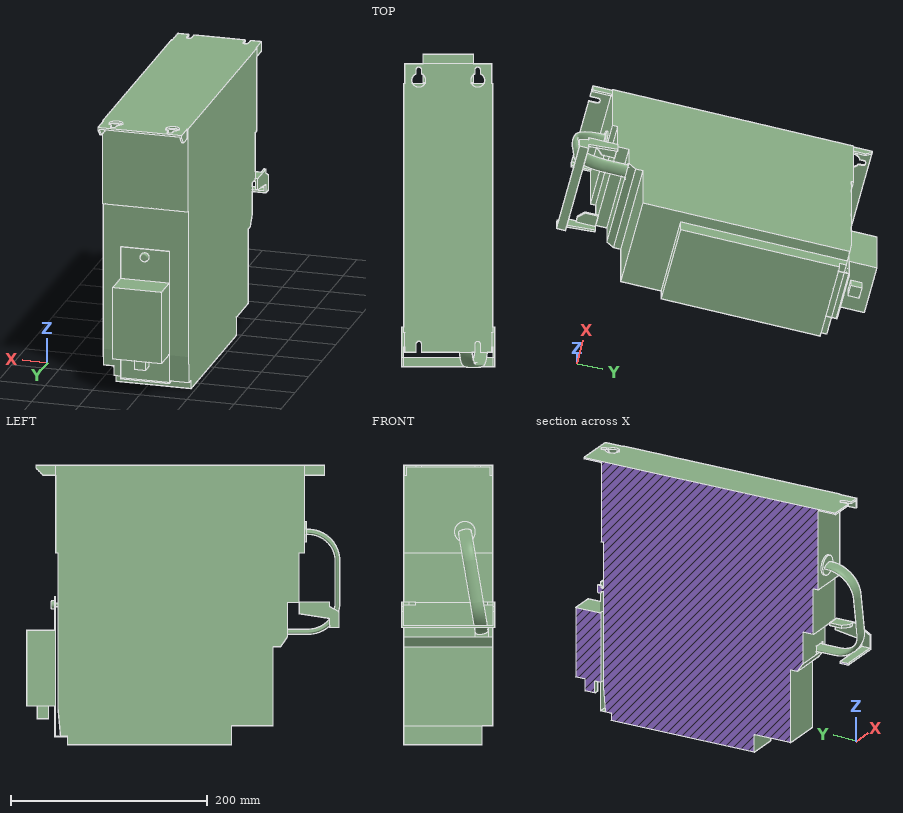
import cadquery as cq
import math


OVERALL_LENGTH = 319.0

HOUSING_WIDTH = 90.5
HOUSING_HEIGHT = 285.0
REAR_Y = 253.3
RECESSED_REAR_Y = 251.0
UPPER_BLOCK_Z = 195.3
MIDDLE_FRONT_Y = 5.5
MIDDLE_Z = 145.0
SOCKET_FRONT_Y = 17.2
SOCKET_FACE_Z = 110.0
BEVEL_END_Y = 24.2
BEVEL_END_Z = 100.0
LOWER_FRONT_Y = 32.0
BASE_TOP_Z = 19.5
BASE_FRONT_Y = 74.5
BASE_REAR_Y = 241.5
REAR_STEP_Z = 9.0
TAPER_START_Z = 37.3
TAPER_DEPTH = 2.5
BASE_SIDE_CUT = 11.0

CHANNEL_WIDTH = 88.7
CHANNEL_SHEET = 2.0
CHANNEL_HEIGHT = 10.5
CHANNEL_FRONT_Y = -20.5
CHANNEL_REAR_Y = 273.5
CHANNEL_BEVEL = 7.3
FASTENER_X = 30.0
SLOT_WIDTH = 5.5
SLOT_END_Y = -9.3
KEYHOLE_DIAMETER = 14.0
KEYHOLE_Y = 256.5
KEYHOLE_END_Y = 270.0

HANDLE_WIDTH = 95.0
HANDLE_SHEET = 2.2
HANDLE_TOP_Z = MIDDLE_Z + 0.5
HANDLE_REAR_Z = 133.5
HANDLE_ARM_Y = -25.5
HANDLE_ARM_Z = 128.5
HANDLE_FRONT_Y = -35.0
HANDLE_BOTTOM_Z = 119.3
HANDLE_NOTCH = 4.5
HANDLE_FRONT_TOP_Z = 135.5
TAB_WIDTH = 14.0
TAB_THICKNESS = 3.2
TAB_FRONT_Y = -15.0
TAB_BEVEL = 6.5

CABLE_WIDTH = 13.5
CABLE_THICKNESS = 5.0
CABLE_FRONT_Y = -36.0
CABLE_BEND = 30.0
CABLE_TOP_X = 17.0
CABLE_TOP_Z = 217.0
CABLE_LOW_X = 34.0
CABLE_LOW_Z = 115.2
COLLAR_DIAMETER = 21.0
COLLAR_THICKNESS = 2.0
SOCKET_WIDTH = 13.7
SOCKET_HEIGHT = 9.3
SOCKET_DEPTH = 3.2

BRACKET_SHEET = 1.0
BRACKET_WIDTH = 51.7
BRACKET_TOP_Z = 151.0
BRACKET_REAR_Y = REAR_Y + BRACKET_SHEET
BOX_REAR_Y = CABLE_FRONT_Y + OVERALL_LENGTH
BOX_BOTTOM_Z = 39.5
BOX_TOP_Z = 116.8
STUB_SIZE = 11.8
STUB_Y = 266.5
STUB_BOTTOM_Z = 26.5
SCREW_Z = 142.5
SCREW_HEAD_DIAMETER = 9.0
SCREW_HEAD_HEIGHT = 3.8
SCREW_HEAD_ROUND = 1.5
SPACER_DIAMETER = 4.0


def box(x_range, y_range, z_range):
    """Block spanning the given (low, high) range along each axis."""
    size = [high - low for low, high in (x_range, y_range, z_range)]
    corner = (x_range[0], y_range[0], z_range[0])
    return cq.Workplane("XY").box(*size, centered=False).translate(corner)


def centered(width):
    """(low, high) range of the given width about zero."""
    return (-width / 2, width / 2)


def side_profile(points, width):
    """Extrude a (Y, Z) outline across X, centred on X = 0."""
    return cq.Workplane("YZ").polyline(points).close().extrude(width / 2, both=True)


def make_housing():
    outline = [
        (0, HOUSING_HEIGHT),
        (0, UPPER_BLOCK_Z),
        (MIDDLE_FRONT_Y, UPPER_BLOCK_Z),
        (MIDDLE_FRONT_Y, MIDDLE_Z),
        (SOCKET_FRONT_Y, MIDDLE_Z),
        (SOCKET_FRONT_Y, SOCKET_FACE_Z),
        (BEVEL_END_Y, BEVEL_END_Z),
        (LOWER_FRONT_Y, BEVEL_END_Z),
        (LOWER_FRONT_Y, BASE_TOP_Z),
        (BASE_FRONT_Y, BASE_TOP_Z),
        (BASE_FRONT_Y, 0),
        (BASE_REAR_Y, 0),
        (BASE_REAR_Y, REAR_STEP_Z),
        (RECESSED_REAR_Y - TAPER_DEPTH, REAR_STEP_Z),
        (RECESSED_REAR_Y, TAPER_START_Z),
        (RECESSED_REAR_Y, UPPER_BLOCK_Z),
        (REAR_Y, UPPER_BLOCK_Z),
        (REAR_Y, HOUSING_HEIGHT),
    ]
    side_strip = box(
        (HOUSING_WIDTH / 2 - BASE_SIDE_CUT, HOUSING_WIDTH / 2),
        (0, REAR_Y),
        (0, BASE_TOP_Z),
    )
    socket = box(
        (CABLE_LOW_X - SOCKET_WIDTH / 2, CABLE_LOW_X + SOCKET_WIDTH / 2),
        (SOCKET_FRONT_Y, SOCKET_FRONT_Y + SOCKET_DEPTH),
        (SOCKET_FACE_Z, SOCKET_FACE_Z + SOCKET_HEIGHT),
    )
    return side_profile(outline, HOUSING_WIDTH).cut(side_strip).cut(socket)


def make_channel():
    bottom_z = HOUSING_HEIGHT - CHANNEL_HEIGHT
    outline = [
        (CHANNEL_FRONT_Y, HOUSING_HEIGHT),
        (CHANNEL_FRONT_Y, bottom_z),
        (CHANNEL_REAR_Y - CHANNEL_BEVEL, bottom_z),
        (CHANNEL_REAR_Y, bottom_z + CHANNEL_BEVEL),
        (CHANNEL_REAR_Y, HOUSING_HEIGHT),
    ]
    inside = box(
        centered(CHANNEL_WIDTH - 2 * CHANNEL_SHEET),
        (CHANNEL_FRONT_Y, CHANNEL_REAR_Y),
        (bottom_z, HOUSING_HEIGHT - CHANNEL_SHEET),
    )
    return side_profile(outline, CHANNEL_WIDTH).cut(inside)


def straight_slot(x, y_start, y_end):
    """Cutter along Y, one sheet deep, with round ends reaching y_start and y_end."""
    return (
        cq.Workplane("XY", origin=(x, (y_start + y_end) / 2, HOUSING_HEIGHT))
        .slot2D(y_end - y_start, SLOT_WIDTH, 90)
        .extrude(-CHANNEL_SHEET)
    )


def make_fastener_cutters(x):
    """Rear keyhole and open front slot at one X position."""
    keyhole = (
        cq.Workplane("XY", origin=(x, KEYHOLE_Y, HOUSING_HEIGHT))
        .circle(KEYHOLE_DIAMETER / 2)
        .extrude(-CHANNEL_SHEET)
        .union(straight_slot(x, KEYHOLE_Y, KEYHOLE_END_Y))
    )
    front_slot = straight_slot(x, CHANNEL_FRONT_Y - SLOT_WIDTH, SLOT_END_Y)
    return keyhole.union(front_slot)


def make_handle():
    notch_z = HANDLE_TOP_Z - HANDLE_NOTCH
    outline = [
        (MIDDLE_FRONT_Y, HANDLE_TOP_Z),
        (MIDDLE_FRONT_Y, HANDLE_REAR_Z),
        (HANDLE_ARM_Y, HANDLE_ARM_Z),
        (HANDLE_ARM_Y, HANDLE_BOTTOM_Z),
        (HANDLE_FRONT_Y, HANDLE_BOTTOM_Z),
        (HANDLE_FRONT_Y, HANDLE_FRONT_TOP_Z),
        (HANDLE_ARM_Y, notch_z),
        (HANDLE_ARM_Y, HANDLE_TOP_Z),
    ]
    between_sides = box(
        centered(HANDLE_WIDTH - 2 * HANDLE_SHEET),
        (HANDLE_FRONT_Y, MIDDLE_FRONT_Y),
        (HANDLE_BOTTOM_Z, HANDLE_TOP_Z),
    )
    crossbar = box(
        centered(HANDLE_WIDTH),
        (HANDLE_FRONT_Y, HANDLE_ARM_Y),
        (HANDLE_BOTTOM_Z, HANDLE_BOTTOM_Z + HANDLE_SHEET),
    )
    outer_x = HANDLE_WIDTH / 2
    inner_x = outer_x - TAB_WIDTH
    tab = (
        cq.Workplane("XY", origin=(0, 0, HANDLE_TOP_Z))
        .polyline([
            (outer_x, MIDDLE_FRONT_Y),
            (inner_x, MIDDLE_FRONT_Y),
            (inner_x, TAB_FRONT_Y + TAB_BEVEL),
            (inner_x + TAB_BEVEL, TAB_FRONT_Y),
            (outer_x, TAB_FRONT_Y),
        ])
        .close()
        .extrude(-TAB_THICKNESS)
    )
    sides = side_profile(outline, HANDLE_WIDTH).cut(between_sides)
    return sides.union(crossbar).union(tab).union(tab.mirror("YZ"))


def make_cable():
    lean = math.atan2(CABLE_LOW_X - CABLE_TOP_X, CABLE_TOP_Z - CABLE_LOW_Z)
    drop = math.hypot(CABLE_LOW_X - CABLE_TOP_X, CABLE_TOP_Z - CABLE_LOW_Z)
    across = (math.cos(lean), 0, math.sin(lean))
    start = (CABLE_TOP_X, 0, CABLE_TOP_Z)
    reach = -CABLE_FRONT_Y - CABLE_THICKNESS / 2
    lead = reach - CABLE_BEND
    path = (
        cq.Workplane(cq.Plane(origin=start, xDir=(0, -1, 0), normal=across))
        .lineTo(lead, 0)
        .tangentArcPoint((reach, CABLE_BEND), relative=False)
        .lineTo(reach, drop - CABLE_BEND)
        .tangentArcPoint((lead, drop), relative=False)
        .lineTo(-SOCKET_FRONT_Y - SOCKET_DEPTH, drop)
    )
    section = cq.Workplane(cq.Plane(origin=start, xDir=across, normal=(0, -1, 0)))
    cable = section.ellipse(CABLE_WIDTH / 2, CABLE_THICKNESS / 2).sweep(path)
    collar = (
        cq.Workplane("XZ", origin=start)
        .circle(COLLAR_DIAMETER / 2)
        .extrude(COLLAR_THICKNESS)
    )
    return cable.union(collar)


def make_rear_bracket():
    foot_z = REAR_STEP_Z - BRACKET_SHEET
    plate = box(centered(BRACKET_WIDTH), (REAR_Y, BRACKET_REAR_Y), (foot_z, BRACKET_TOP_Z))
    foot = box(centered(BRACKET_WIDTH), (BASE_REAR_Y, BRACKET_REAR_Y), (foot_z, REAR_STEP_Z))
    return plate.union(foot)


def make_rear_box():
    body = box(centered(BRACKET_WIDTH), (BRACKET_REAR_Y, BOX_REAR_Y), (BOX_BOTTOM_Z, BOX_TOP_Z))
    stub = box(
        centered(STUB_SIZE),
        (STUB_Y - STUB_SIZE / 2, STUB_Y + STUB_SIZE / 2),
        (STUB_BOTTOM_Z, BOX_BOTTOM_Z),
    )
    return body.union(stub)


def make_screw():
    spacer = (
        cq.Workplane("XZ", origin=(0, RECESSED_REAR_Y, SCREW_Z))
        .circle(SPACER_DIAMETER / 2)
        .extrude(RECESSED_REAR_Y - BRACKET_REAR_Y)
    )
    head = (
        cq.Workplane("XZ", origin=(0, BRACKET_REAR_Y, SCREW_Z))
        .circle(SCREW_HEAD_DIAMETER / 2)
        .extrude(-SCREW_HEAD_HEIGHT)
        .faces(">Y")
        .edges()
        .fillet(SCREW_HEAD_ROUND)
    )
    return spacer.union(head)


result = make_housing().union(make_channel())
for side in (-1, 1):
    result = result.cut(make_fastener_cutters(side * FASTENER_X))
for feature in (make_handle(), make_cable(), make_rear_bracket(), make_rear_box(), make_screw()):
    result = result.union(feature)